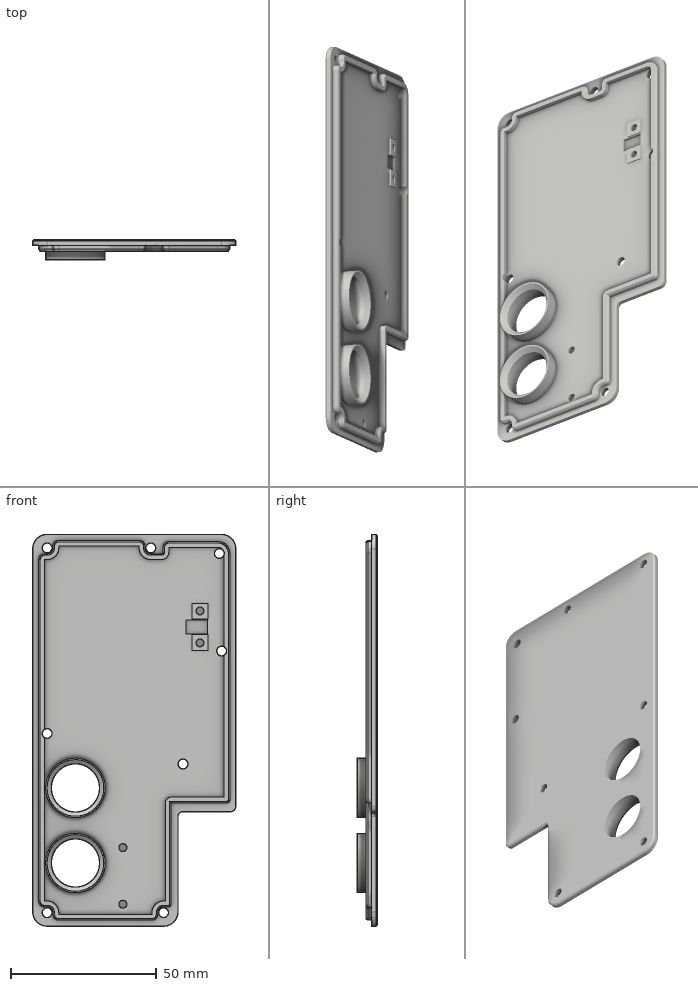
import cadquery as cq
import math

width = 70.0
height = 135.0
leg_width = 50.1
step_height = 39.4
plate_thickness = 2.0
rim_height = 2.0
collar_depth = 7.0
back_chamfer = 0.5

corner_radius = 5.0
step_corner_radius = 2.0
step_inner_radius = 1.5

rim_inset = 2.1
rim_top_drop = 0.4
rim_step_inset = 3.1
rim_leg_inset = 2.4
rim_wall = 2.0
rim_chamfer_width = 0.5
rim_chamfer_depth = 0.7
rim_bend_radius = 2.0
rim_corner_radius = 4.0
rim_step_radius = 1.0

screw_diameter = 3.3
screw_inset_x = 5.0
screw_inset_z = 4.7
middle_screw_x = 40.7
notch_radius = 2.0
middle_notch_end_x = 44.9
notch_end_radius = 0.5
inner_screw_points = [(64.3, 128.4), (65.1, 94.8), (5.0, 66.4), (51.8, 55.9)]

collar_x = 14.75
collar_heights = [21.8, 47.65]
collar_diameter = 20.5
bore_diameter = 16.5
collar_mouth_diameter = 19.5
countersink_depth = 1.6

pilot_diameter = 2.75
pilot_depth = 1.5
pilot_x = 31.1
pilot_heights = [7.6, 27.1]

seat_right_x = 60.4
seat_z = 103.1
pad_width = 5.5
pad_length = 5.5
pad_height = 0.5
recess_width = 7.3
recess_right_gap = 0.2
recess_length = 4.9
pad_gap = 5.3
recess_depth = 1.0
pad_hole_diameter = 2.7
pad_hole_offset = 5.5
pad_hole_depth = 1.5


def front_plane(distance):
    """Sketch plane parallel to the back face, the given distance in front of it."""
    return cq.Workplane("XZ").workplane(offset=distance)


def unit(start, end):
    """Direction from start to end, as a unit vector."""
    length = math.hypot(end[0] - start[0], end[1] - start[1])
    return (end[0] - start[0]) / length, (end[1] - start[1]) / length


def rounded_outline(plane, corners, inset=0.0):
    """Closed outline from counter-clockwise (x, z, radius) square corners, moved inward by inset."""
    bends = []
    for i, corner in enumerate(corners):
        before = unit(corners[i - 1], corner)
        after = unit(corner, corners[(i + 1) % len(corners)])
        turn = before[0] * after[1] - before[1] * after[0]
        x = corner[0] + turn * inset * (after[0] - before[0])
        z = corner[1] + turn * inset * (after[1] - before[1])
        radius = max(corner[2] - turn * inset, 0.0)
        sagitta = radius * (1 - math.sqrt(0.5))
        start = (x - before[0] * radius, z - before[1] * radius)
        middle = (x + (after[0] - before[0]) * sagitta, z + (after[1] - before[1]) * sagitta)
        end = (x + after[0] * radius, z + after[1] * radius)
        bends.append((radius, start, middle, end))
    outline = plane.moveTo(*bends[-1][3])
    for radius, start, middle, end in bends:
        outline = outline.lineTo(*start)
        if radius > 0:
            outline = outline.threePointArc(middle, end)
    return outline.close()


def make_plate():
    """Stepped base plate with its back edges chamfered."""
    corners = [
        (0, 0, corner_radius),
        (leg_width, 0, corner_radius),
        (leg_width, step_height, step_inner_radius),
        (width, step_height, step_corner_radius),
        (width, height, corner_radius),
        (0, height, corner_radius),
    ]
    plate = rounded_outline(front_plane(0), corners).extrude(plate_thickness)
    return plate.faces(">Y").chamfer(back_chamfer)


def make_rim():
    """Raised rim that bends inward around the screw holes near the edge."""
    left = rim_inset
    bottom = rim_inset
    right = width - rim_inset
    top = height - rim_inset
    leg_right = leg_width - rim_leg_inset
    step_bottom = step_height + rim_step_inset
    notch_left = screw_inset_x + notch_radius
    notch_bottom = screw_inset_z + notch_radius
    notch_top = height - notch_bottom
    leg_notch = leg_width - notch_left
    middle_notch_start = middle_screw_x - notch_radius
    right_top = top - rim_top_drop
    bend = rim_bend_radius
    corners = [
        (notch_left, bottom, bend),
        (leg_notch, bottom, bend),
        (leg_notch, notch_bottom, notch_radius),
        (leg_right, notch_bottom, rim_step_radius),
        (leg_right, step_bottom, 0),
        (right, step_bottom, rim_step_radius),
        (right, right_top, rim_corner_radius),
        (middle_notch_end_x, right_top, bend),
        (middle_notch_end_x, notch_top, notch_end_radius),
        (middle_notch_start, notch_top, notch_radius),
        (middle_notch_start, top, bend),
        (notch_left, top, bend),
        (notch_left, notch_top, notch_radius),
        (left, notch_top, bend),
        (left, notch_bottom, bend),
        (notch_left, notch_bottom, notch_radius),
    ]
    plane = front_plane(plate_thickness)
    block = rounded_outline(plane, corners).extrude(rim_height)
    block = block.faces("<Y").chamfer(rim_chamfer_depth, rim_chamfer_width)
    pocket = rounded_outline(plane, corners, rim_wall).extrude(rim_height)
    return block.cut(pocket)


def make_collars():
    points = [(collar_x, z) for z in collar_heights]
    return front_plane(0).pushPoints(points).circle(collar_diameter / 2).extrude(collar_depth)


def cut_collar_bores(body):
    for z in collar_heights:
        bore = front_plane(0).center(collar_x, z).circle(bore_diameter / 2).extrude(collar_depth)
        mouth = (
            front_plane(collar_depth - countersink_depth).center(collar_x, z)
            .circle(bore_diameter / 2)
            .workplane(offset=countersink_depth)
            .circle(collar_mouth_diameter / 2)
            .loft()
        )
        body = body.cut(bore).cut(mouth)
    return body


def cut_screw_holes(body):
    low = screw_inset_z
    high = height - screw_inset_z
    points = [
        (screw_inset_x, low),
        (leg_width - screw_inset_x, low),
        (screw_inset_x, high),
        (middle_screw_x, high),
    ]
    depth = plate_thickness + rim_height
    holes = front_plane(0).pushPoints(points + inner_screw_points).circle(screw_diameter / 2).extrude(depth)
    return body.cut(holes)


def cut_pilot_holes(body):
    points = [(pilot_x, z) for z in pilot_heights]
    plane = front_plane(plate_thickness - pilot_depth)
    return body.cut(plane.pushPoints(points).circle(pilot_diameter / 2).extrude(pilot_depth))


def add_sensor_seat(body):
    pad_x = seat_right_x - pad_width / 2
    for side in (-1, 1):
        pad_z = seat_z + side * (pad_gap + pad_length) / 2
        pad = front_plane(plate_thickness).center(pad_x, pad_z).rect(pad_width, pad_length).extrude(pad_height)
        hole = (
            front_plane(plate_thickness + pad_height - pad_hole_depth)
            .center(pad_x, seat_z + side * pad_hole_offset)
            .circle(pad_hole_diameter / 2)
            .extrude(pad_hole_depth)
        )
        body = body.union(pad).cut(hole)
    recess_x = seat_right_x - recess_right_gap - recess_width / 2
    recess = (
        front_plane(plate_thickness - recess_depth)
        .center(recess_x, seat_z)
        .rect(recess_width, recess_length)
        .extrude(recess_depth)
    )
    return body.cut(recess)


body = make_plate().union(make_rim()).union(make_collars())
body = cut_collar_bores(body)
body = cut_screw_holes(body)
body = cut_pilot_holes(body)
result = add_sensor_seat(body)